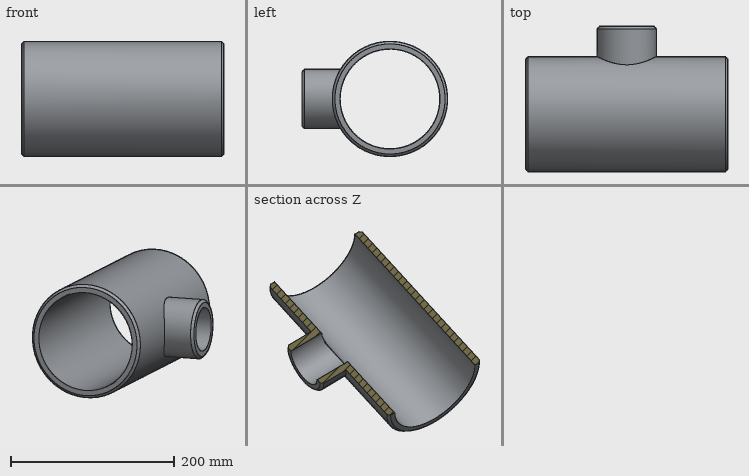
import cadquery as cq

run_length = 248.0
run_diameter = 141.3
wall = 9.7

branch_diameter = 73.0
branch_reach = 107.8
branch_wall = 9.7

end_chamfer = 3.2

run_bore = run_diameter - 2 * wall
branch_bore = branch_diameter - 2 * branch_wall


def run_cylinder(diameter):
    """Cylinder along X over the full run length."""
    return cq.Workplane("YZ").circle(diameter / 2).extrude(run_length / 2, both=True)


def branch_cylinder(diameter):
    """Cylinder from the run axis out to the branch end face."""
    return cq.Workplane("XZ").circle(diameter / 2).extrude(-branch_reach)


run = run_cylinder(run_diameter).faces("<X or >X").edges().chamfer(end_chamfer)
branch = branch_cylinder(branch_diameter).faces(">Y").edges().chamfer(end_chamfer)

result = (
    run.union(branch)
    .cut(run_cylinder(run_bore))
    .cut(branch_cylinder(branch_bore))
)